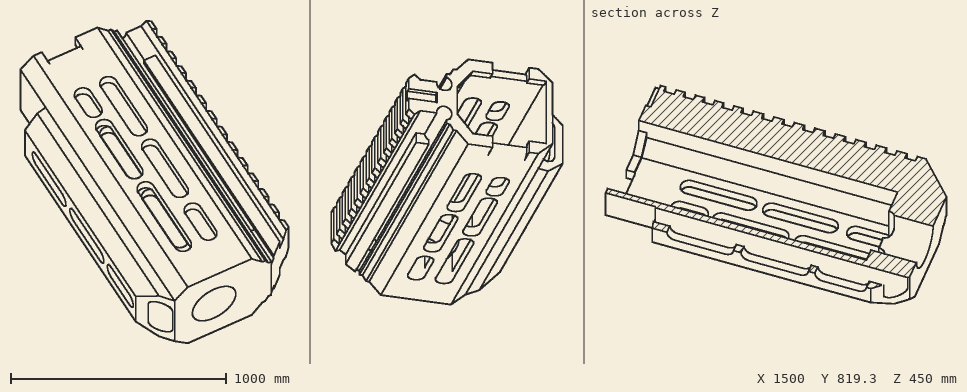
import cadquery as cq

overall_depth = 819.29
length = 1500.0
overall_height = 449.95
half_height = overall_height / 2
rail_top = 484.7
grip_bottom = rail_top - overall_depth
past_end = 10.0

body_top = 302.5
ledge_inner = 287.0
ledge_half_height = 133.0
shoulder_outer = 270.0
shoulder_inner = 255.0
shoulder_half_height = 162.0
upper_chamfer_start = 199.0
lower_chamfer_start = -139.0
body_bottom = -208.5

cavity_end = 1275.0
cavity_bottom = -178.0
cavity_top = 251.0
cavity_half_height = 176.0
cavity_top_half_width = 107.0
cavity_shoulder = cavity_top - (cavity_half_height - cavity_top_half_width)
rim_depth = 41.0
rim_shoulder = 176.0
rim_half_height = 165.0
rim_top_half_width = 72.0
bore_radius = 114.5

neck_half_height = 82.5
head_half_height = 106.0
head_widest = 457.5
head_root = 429.0
center_slot_half_height = 25.7
center_slot_floor = 349.0
center_slot_depth = 25.0
lip_start = 210.0
lip_inner = 329.0
lip_outer = 391.0
rod_hole_y = 314.0
rod_hole_z = 78.5
rod_hole_radius = 36.0
rod_hole_depth = 1290.0
nose_start = 1333.0
gap_width = 50.0
first_gap = 52.0
rear_gap_pitch = 95.0
rear_gap_count = 4
front_gap_pitch = 101.0
front_gap_count = 9
first_front_gap = first_gap + rear_gap_count * rear_gap_pitch
gap_starts = [first_gap + rear_gap_pitch * i for i in range(rear_gap_count)]
gap_starts += [first_front_gap + front_gap_pitch * i for i in range(front_gap_count)]

grip_rear_top = 246.0
grip_rear_bottom = 275.5
grip_front_bottom = 1353.0
grip_chamfer_start = -259.0
grip_bottom_half_height = 101.0
window_y = -254.0
window_width = 78.0
window_height = 221.0
grip_slot_width = 81.0
grip_slots = [(349.0, 675.0), (714.0, 1044.0), (1078.0, 1330.0)]

wall_slot_width = 80.0
upper_slot_y = 91.0
upper_slots = [(266.0, 638.0), (672.0, 1038.0), (1086.0, 1315.0)]
lower_slot_y = -43.0
lower_slots = [(266.0, 446.0), (471.0, 843.0), (875.0, 1315.0)]

notch_upper = 81.0
notch_lower = -95.0
notch_depth = 76.0
notch_round = 35.0


def mirrored(half):
    """Points of a closed outline from its Z > 0 half, symmetric about Z = 0."""
    return half + [(y, -z) for y, z in reversed(half)]


def extrude_yz(points, start, end):
    """Prism with a YZ outline, between two X positions."""
    return cq.Workplane("YZ", origin=(start, 0, 0)).polyline(points).close().extrude(end - start)


def block(x_range, y_range, z_range):
    """Box spanning the given (low, high) ranges."""
    size = [high - low for low, high in (x_range, y_range, z_range)]
    return cq.Workplane("XY").box(*size, centered=False).translate((x_range[0], y_range[0], z_range[0]))


def rod(start, end, y, z, radius):
    """Cylinder along X between two positions."""
    return cq.Workplane("YZ", origin=(start, 0, 0)).center(y, z).circle(radius).extrude(end - start)


def make_body():
    """Solid outer form of the body."""
    outline = mirrored([
        (body_bottom, shoulder_half_height),
        (lower_chamfer_start, half_height),
        (upper_chamfer_start, half_height),
        (shoulder_inner, shoulder_half_height),
        (shoulder_outer, shoulder_half_height),
        (ledge_inner, ledge_half_height),
        (body_top, ledge_half_height),
    ])
    return extrude_yz(outline, 0, length)


def make_rail():
    """Toothed rail head on its neck, with a lip along each side."""
    head = mirrored([
        (body_top - past_end, neck_half_height),
        (head_root, neck_half_height),
        (head_widest, head_half_height),
        (rail_top, neck_half_height),
    ])
    rail = extrude_yz(head, 0, length)
    lips = block((lip_start, length), (lip_inner, lip_outer), (-ledge_half_height, ledge_half_height))
    rail = rail.union(lips)
    for start in gap_starts:
        gap = block(
            (start, start + gap_width),
            (head_widest, rail_top + past_end),
            (-half_height, half_height),
        )
        rail = rail.cut(gap)
    return rail


def cut_rail_holes(part):
    """Center slot and two rod holes from the rear, each hole plugged by a rod at the front."""
    center_slot = block(
        (-past_end, center_slot_depth),
        (center_slot_floor, rail_top + past_end),
        (-center_slot_half_height, center_slot_half_height),
    )
    part = part.cut(center_slot)
    for side in (-1, 1):
        z = side * rod_hole_z
        part = part.cut(rod(-past_end, rod_hole_depth, rod_hole_y, z, rod_hole_radius))
        part = part.union(rod(rod_hole_depth, length, rod_hole_y, z, rod_hole_radius))
    return part


def cut_nose(part):
    """Slope the front end of the rail."""
    nose = (
        cq.Workplane("XY", origin=(0, 0, -half_height))
        .polyline([(nose_start, rail_top), (length, body_top), (length, rail_top)])
        .close()
        .extrude(overall_height)
    )
    return part.cut(nose)


def make_grip():
    """Chamfered grip block with sloped ends."""
    side = (
        cq.Workplane("XY", origin=(0, 0, -half_height))
        .polyline([
            (grip_rear_top, body_bottom),
            (length, body_bottom),
            (grip_front_bottom, grip_bottom),
            (grip_rear_bottom, grip_bottom),
        ])
        .close()
        .extrude(overall_height)
    )
    section = extrude_yz(mirrored([
        (grip_bottom, grip_bottom_half_height),
        (grip_chamfer_start, shoulder_half_height),
        (body_bottom, shoulder_half_height),
    ]), 0, length)
    return side.intersect(section)


def cut_grip_openings(part):
    """Long window along X, and slots from the bottom face into it."""
    window = (
        cq.Workplane("YZ")
        .center(window_y, 0)
        .slot2D(window_height, window_width, 90)
        .extrude(length)
    )
    part = part.cut(window)
    for start, end in grip_slots:
        slot = (
            cq.Workplane("XZ", origin=(0, window_y, 0))
            .center((start + end) / 2, 0)
            .slot2D(end - start, grip_slot_width)
            .extrude(window_y - grip_bottom)
        )
        part = part.cut(slot)
    return part


def cut_cavity(part):
    """Cavity behind a narrower rear rim, and the bore through the front wall."""
    opening = extrude_yz(mirrored([
        (cavity_bottom, rim_half_height),
        (rim_shoulder, rim_half_height),
        (cavity_top, rim_top_half_width),
    ]), 0, rim_depth)
    cavity = extrude_yz(mirrored([
        (cavity_bottom, cavity_half_height),
        (cavity_shoulder, cavity_half_height),
        (cavity_top, cavity_top_half_width),
    ]), rim_depth, cavity_end)
    return part.cut(opening).cut(cavity).cut(rod(0, length, 0, 0, bore_radius))


def cut_wall_slots(part):
    """Two rows of slots straight through in Z."""
    for row_y, row in ((upper_slot_y, upper_slots), (lower_slot_y, lower_slots)):
        for start, end in row:
            slot = (
                cq.Workplane("XY", origin=(0, 0, -half_height))
                .center((start + end) / 2, row_y)
                .slot2D(end - start, wall_slot_width)
                .extrude(overall_height)
            )
            part = part.cut(slot)
    return part


def cut_notches(part):
    """Rear notches whose wall ends are rounded."""
    part = part.cut(block((0, notch_depth), (notch_lower, notch_upper), (-half_height, half_height)))
    for side in (-1, 1):
        rounded_end = (
            cq.Workplane("XZ", origin=(0, notch_upper, 0))
            .center(notch_depth, side * (half_height - notch_round))
            .circle(notch_round)
            .extrude(notch_upper - notch_lower)
        )
        part = part.union(rounded_end)
    return part


result = make_body().union(make_rail())
result = cut_rail_holes(result)
result = cut_nose(result)
result = result.union(make_grip())
result = cut_grip_openings(result)
result = cut_notches(result)
result = cut_cavity(result)
result = cut_wall_slots(result)